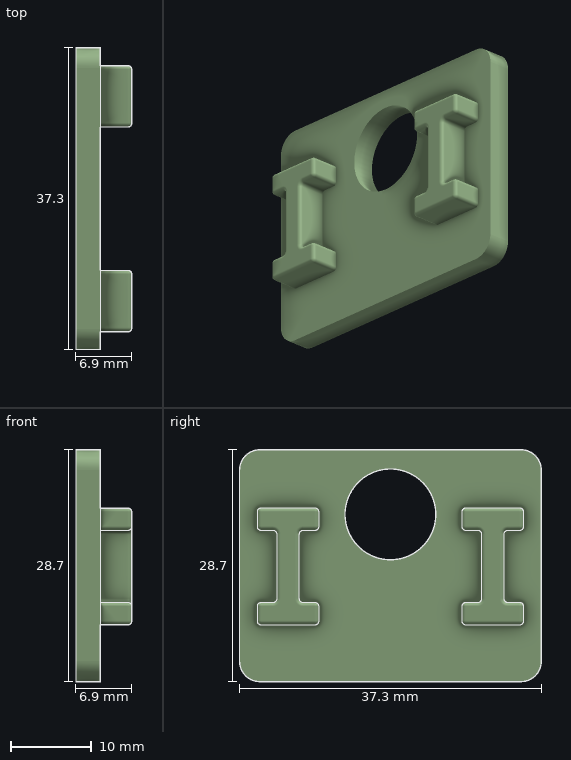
import cadquery as cq

plate_length = 37.3
plate_height = 28.7
plate_thickness = 3.02
plate_corner_radius = 2.55

hole_diameter = 11.2
hole_rise = 6.35

total_depth = 6.9
block_depth = total_depth - plate_thickness
block_length = 7.6
block_height = 14.45
block_wall = 2.75
block_spacing = 25.3
block_drop = 0.095
edge_radius = 0.5


def make_plate():
    plate = (
        cq.Workplane("YZ")
        .rect(plate_length, plate_height)
        .extrude(plate_thickness)
        .edges("|X")
        .fillet(plate_corner_radius)
    )
    hole = (
        cq.Workplane("YZ")
        .center(0, hole_rise)
        .circle(hole_diameter / 2)
        .extrude(plate_thickness)
    )
    return plate.cut(hole)


def make_block(center_y):
    """H-shaped block with rounded corners and a rounded rim at its +X end."""
    notch_height = block_height - 2 * block_wall
    notch_depth = (block_length - block_wall) / 2
    base = cq.Workplane("YZ", origin=(plate_thickness, center_y, -block_drop))
    notch_offset = (block_wall + notch_depth) / 2
    notches = (
        base.pushPoints([(-notch_offset, 0), (notch_offset, 0)])
        .rect(notch_depth, notch_height)
        .extrude(block_depth)
    )
    return (
        base.rect(block_length, block_height)
        .extrude(block_depth)
        .cut(notches)
        .edges("|X")
        .fillet(edge_radius)
        .faces(">X")
        .edges()
        .fillet(edge_radius)
    )


result = make_plate()
for side in (-1, 1):
    result = result.union(make_block(side * block_spacing / 2))